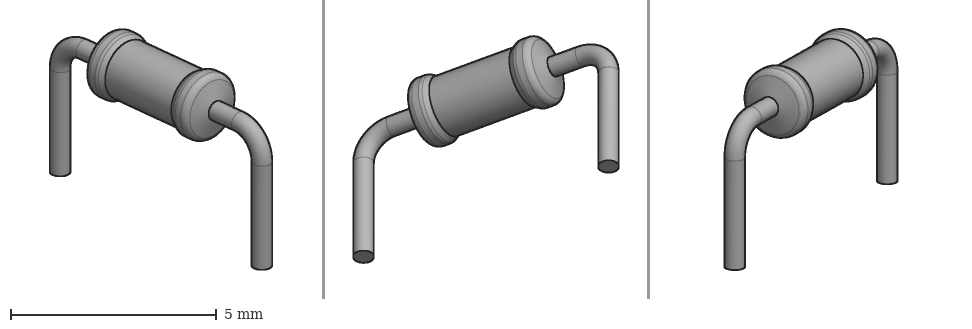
import cadquery as cq


wire_diameter = 0.51
lead_pitch = 7.0
bend_radius = 0.8
leg_depth = 3.64

cap_diameter = 1.78
barrel_diameter = 1.56
body_length = 3.82
cap_outer_corner = 1.72
cap_inner_corner = 1.34
barrel_half_length = 1.145
cap_fillet = 0.19

wire_radius = wire_diameter / 2
cap_radius = cap_diameter / 2
barrel_radius = barrel_diameter / 2
body_half_length = body_length / 2
leg_x = lead_pitch / 2


def make_body():
    """Turned body: conical ends, two rounded raised bands and a narrower barrel."""
    right_half = [
        (barrel_half_length, barrel_radius),
        (cap_inner_corner, cap_radius),
        (cap_outer_corner, cap_radius),
        (body_half_length, wire_radius),
        (body_half_length, 0),
    ]
    left_half = [(-x, radius) for x, radius in reversed(right_half)]
    body = (
        cq.Workplane("XY")
        .polyline(left_half + right_half)
        .close()
        .revolve(360, (0, 0, 0), (1, 0, 0))
    )
    band_corners = cq.selectors.RadiusNthSelector(-1)
    return body.edges(band_corners).fillet(cap_fillet)


def make_wire():
    """One round wire running up a leg, through the body and down the other leg."""
    path = (
        cq.Workplane("XZ")
        .moveTo(-leg_x, -leg_depth)
        .lineTo(-leg_x, -bend_radius)
        .radiusArc((-leg_x + bend_radius, 0), bend_radius)
        .lineTo(leg_x - bend_radius, 0)
        .radiusArc((leg_x, -bend_radius), bend_radius)
        .lineTo(leg_x, -leg_depth)
    )
    leg_tip = cq.Workplane("XY", origin=(-leg_x, 0, -leg_depth))
    return leg_tip.circle(wire_radius).sweep(path)


result = make_body().union(make_wire())